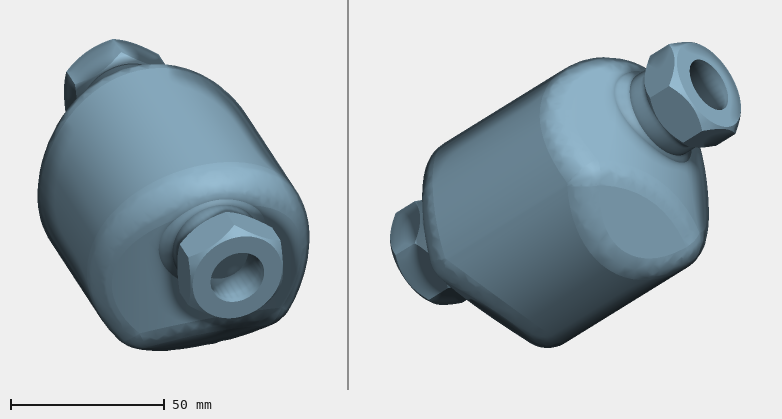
import cadquery as cq
import math

total_length = 127.0
body_diameter = 76.0
body_length = 82.8
end_bow_radius = 66.7
slope_drop = 18.7
body_fillet = 10.5

port_height = 14.0
neck_diameter = 30.0
collar_start = 42.3
nut_length = 14.4
nut_across_flats = 31.8
nut_face_diameter = 30.7
bore_floor_diameter = 17.5
bore_mouth_diameter = 18.4
bore_depth = nut_length

body_radius = body_diameter / 2
half_length = total_length / 2
half_body = body_length / 2
flare = 5.1


def make_body():
    """Cylinder along X, bowed about vertical axes, with 45 degree lower slopes."""
    body = cq.Workplane("YZ").circle(body_radius).extrude(half_body, both=True)
    for side in (-1, 1):
        bow = (
            cq.Workplane("XY")
            .center(side * (half_body - end_bow_radius), 0)
            .circle(end_bow_radius)
            .extrude(body_radius, both=True)
        )
        body = body.intersect(bow)

        slope_height = body_radius - slope_drop
        slope_cut = (
            cq.Workplane("XZ")
            .moveTo(side * half_body, -slope_drop)
            .lineTo(side * (half_body - slope_height), -body_radius)
            .lineTo(side * half_body, -body_radius)
            .close()
            .extrude(body_radius, both=True)
        )
        body = body.cut(slope_cut)
    return body.edges().fillet(body_fillet)


def make_neck():
    """Plain neck that flares at 45 degrees into the body, revolved about +X."""
    neck_radius = neck_diameter / 2
    flare_end = collar_start - flare
    return (
        cq.Workplane("XY")
        .moveTo(flare_end, 0)
        .lineTo(flare_end, neck_radius + flare)
        .lineTo(collar_start, neck_radius)
        .lineTo(half_length - nut_length, neck_radius)
        .lineTo(half_length - nut_length, 0)
        .close()
        .revolve(360, (0, 0, 0), (1, 0, 0))
    )


def make_nut():
    """Hexagon with two corners up and down and 45 degree chamfers on both faces."""
    corner_radius = nut_across_flats / math.sqrt(3)
    face_radius = nut_face_diameter / 2
    chamfer = corner_radius - face_radius
    inner_end = half_length - nut_length
    hexagon = (
        cq.Workplane("YZ", origin=(inner_end, 0, 0))
        .polygon(6, 2 * corner_radius)
        .extrude(nut_length)
        .rotate((0, 0, 0), (1, 0, 0), 30)
    )
    chamfered_round = (
        cq.Workplane("YZ", origin=(inner_end, 0, 0))
        .circle(corner_radius)
        .extrude(nut_length)
        .faces("<X or >X")
        .chamfer(chamfer)
    )
    return hexagon.intersect(chamfered_round)


def make_bore():
    """Slightly tapered blind bore, entered from the outer nut face."""
    floor = half_length - bore_depth
    return (
        cq.Workplane("XY")
        .moveTo(floor, 0)
        .lineTo(floor, bore_floor_diameter / 2)
        .lineTo(half_length, bore_mouth_diameter / 2)
        .lineTo(half_length, 0)
        .close()
        .revolve(360, (0, 0, 0), (1, 0, 0))
    )


port = make_neck().union(make_nut()).cut(make_bore()).translate((0, 0, port_height))
opposite_port = port.mirror("YZ")

result = make_body().union(port).union(opposite_port)